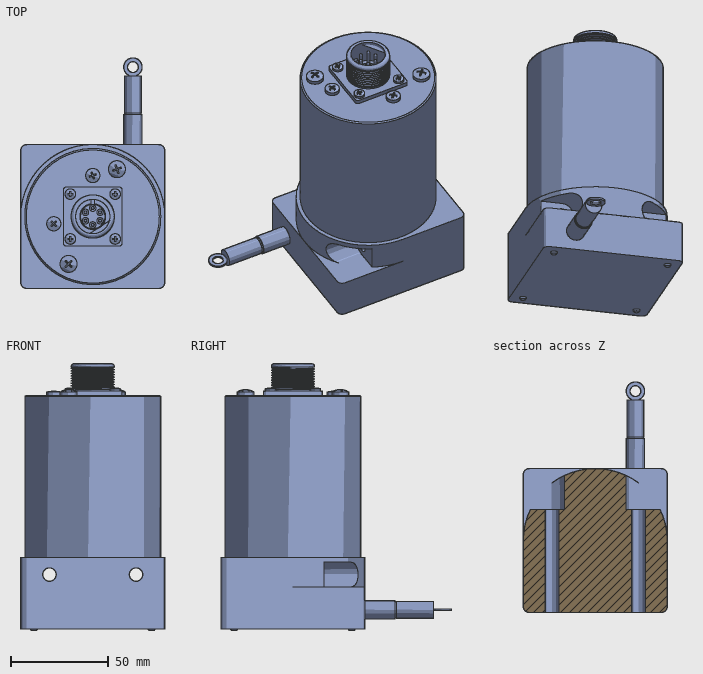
import cadquery as cq
import math

OVERALL_HEIGHT = 136.96
OVERALL_DEPTH = 118.36

BASE_SIDE = 73.91
BASE_HEIGHT = 36.83
BASE_CORNER_RADIUS = 3.05
SHOULDER_CUT_DEPTH = 15.24

MOUNT_HOLE_DIAMETER = 6.76
MOUNT_HOLE_X = 22.2
MOUNT_HOLE_DEPTH_BELOW_TOP = 8.89
SPOT_FACE_DIAMETER = 2 * (SHOULDER_CUT_DEPTH - MOUNT_HOLE_DEPTH_BELOW_TOP)
SPOT_FACE_Y = 16.0

FOOT_OFFSET = 30.2
FOOT_HEIGHT = 0.86
FOOT_TOP_DIAMETER = 3.7
FOOT_BOTTOM_DIAMETER = 2.64

CONNECTOR_HEIGHT = 16.3
BODY_DIAMETER = 69.85
BODY_TOP_Z = OVERALL_HEIGHT - FOOT_HEIGHT - CONNECTOR_HEIGHT
BODY_RIM_WIDTH = 0.8
BODY_RIM_HEIGHT = 0.5

CABLE_X = 20.6
CABLE_Z = 9.85
SLEEVE_DIAMETER = 9.53
SLEEVE_END_Y = 52.3
FITTING_DIAMETER = 8.74
FITTING_START_Y = 53.1
FITTING_END_Y = 72.2
NECK_DIAMETER = 8.4
EYELET_DIAMETER = 9.53
EYELET_HOLE_DIAMETER = 5.44
EYELET_THICKNESS = 0.9
EYELET_Y = OVERALL_DEPTH - BASE_SIDE / 2 - EYELET_DIAMETER / 2

FLANGE_SIDE = 30.2
FLANGE_THICKNESS = 2.2
FLANGE_CORNER_RADIUS = 1.5
FLANGE_SCREW_OFFSET = 11.5
FLANGE_TOP_Z = BODY_TOP_Z + FLANGE_THICKNESS
SHELL_TOP_Z = BODY_TOP_Z + CONNECTOR_HEIGHT
THREAD_DIAMETER = 22.23
THREAD_DEPTH = 0.8
THREAD_PITCH = 1.27
THREAD_ROOT_WIDTH = 1.07
THREAD_ROOT_RADIUS = THREAD_DIAMETER / 2 - THREAD_DEPTH
SHELL_COLLAR_HEIGHT = 0.9
SHELL_RIM_HEIGHT = 1.8
SHELL_RIM_RADIUS = 1.4
SHELL_BORE_DIAMETER = 17.6
SHELL_BORE_DEPTH = 12.6

INSERT_DIAMETER = 13.3
INSERT_HEIGHT = 0.4
PIN_COUNT = 6
PIN_CIRCLE_RADIUS = 4.3
PIN_DIAMETER = 1.57
PIN_TIP_DEPTH = 2.2
PIN_TIP_ROUND = 0.7
PIN_RECESS_DIAMETER = 3.3
PIN_RECESS_DEPTH = 0.8
KEY_WIDTH = 1.57
KEY_INNER_RADIUS = 6.2
KEY_TIP_DEPTH = 1.0

COVER_SCREW = (8.74, 1.8, 3.1, 4.6)
CLAMP_SCREW = (7.3, 1.8, 2.25, 3.6)
FLANGE_SCREW = (5.44, 1.2, 1.75, 2.6)
COVER_SCREW_PLACES = [(12.4, 24.3, 20), (-12.4, -24.3, 45)]
CLAMP_SCREW_PLACES = [(0, 21.05, 20), (-20.0, -3.7, 45)]
CROSS_SLOT_WIDTH = 0.7
CROSS_SLOT_DEPTH = 0.9

OVERLAP = 0.2


def disc(diameter, z_bottom, height):
    """Cylinder on the Z axis."""
    return cq.Workplane("XY", origin=(0, 0, z_bottom)).circle(diameter / 2).extrude(height)


def rod(diameter, x, z, y_start, y_end):
    """Cylinder along +Y."""
    plane = cq.Plane(origin=(x, y_start, z), xDir=(1, 0, 0), normal=(0, 1, 0))
    return cq.Workplane(plane).circle(diameter / 2).extrude(y_end - y_start)


def box_between(x0, x1, y0, y1, z0, z1):
    """Box given by its limits on each axis."""
    return cq.Workplane("XY").box(x1 - x0, y1 - y0, z1 - z0, centered=False).translate((x0, y0, z0))


def make_base():
    half = BASE_SIDE / 2
    base = cq.Workplane("XY").rect(BASE_SIDE, BASE_SIDE).extrude(BASE_HEIGHT)
    base = base.edges("|Z").fillet(BASE_CORNER_RADIUS)

    shoulder_z = BASE_HEIGHT - SHOULDER_CUT_DEPTH
    corners = box_between(-half, half, 0, half, shoulder_z, BASE_HEIGHT)
    base = base.cut(corners.cut(disc(BASE_SIDE, shoulder_z, SHOULDER_CUT_DEPTH)))

    hole_z = BASE_HEIGHT - MOUNT_HOLE_DEPTH_BELOW_TOP
    spot_radius = SPOT_FACE_DIAMETER / 2
    for side in (-1, 1):
        x = side * MOUNT_HOLE_X
        base = base.cut(rod(MOUNT_HOLE_DIAMETER, x, hole_z, -half, half))
        base = base.cut(rod(SPOT_FACE_DIAMETER, x, hole_z, SPOT_FACE_Y, half))
        x_low, x_high = sorted((x, side * half))
        base = base.cut(
            box_between(x_low, x_high, SPOT_FACE_Y, half, hole_z - spot_radius, hole_z + spot_radius)
        )
    return base


def make_foot(x, y):
    foot = cq.Workplane("XY").center(x, y).circle(FOOT_TOP_DIAMETER / 2)
    return foot.workplane(offset=-FOOT_HEIGHT).circle(FOOT_BOTTOM_DIAMETER / 2).loft()


def make_body():
    body = disc(BODY_DIAMETER, BASE_HEIGHT, BODY_TOP_Z - BASE_HEIGHT)
    return body.faces(">Z").edges().chamfer(BODY_RIM_HEIGHT, BODY_RIM_WIDTH)


def make_cable_end():
    cable = rod(SLEEVE_DIAMETER, CABLE_X, CABLE_Z, BASE_SIDE / 2 - OVERLAP, SLEEVE_END_Y)
    neck = rod(NECK_DIAMETER, CABLE_X, CABLE_Z, SLEEVE_END_Y - OVERLAP, FITTING_START_Y + OVERLAP)
    cable = cable.union(neck)
    cable = cable.union(rod(FITTING_DIAMETER, CABLE_X, CABLE_Z, FITTING_START_Y, FITTING_END_Y))
    eyelet = disc(EYELET_DIAMETER, -EYELET_THICKNESS / 2, EYELET_THICKNESS)
    eyelet = eyelet.cut(disc(EYELET_HOLE_DIAMETER, -EYELET_THICKNESS / 2, EYELET_THICKNESS))
    return cable.union(eyelet.translate((CABLE_X, EYELET_Y, CABLE_Z)))


def make_screw_head(size, x, y, z, angle):
    """Domed screw head with a cross slot, seated at height z."""
    diameter, edge_height, height, slot_span = size
    radius = diameter / 2
    rise = height - edge_height
    dome_radius = (radius**2 + rise**2) / (2 * rise)
    mid_x = radius / 2
    mid_z = height - dome_radius + math.sqrt(dome_radius**2 - mid_x**2)
    head = (
        cq.Workplane("XZ")
        .moveTo(0, -OVERLAP)
        .lineTo(radius, -OVERLAP)
        .lineTo(radius, edge_height)
        .threePointArc((mid_x, mid_z), (0, height))
        .close()
        .revolve(360, (0, 0, 0), (0, 1, 0))
    )
    slot = cq.Workplane("XY", origin=(0, 0, height - CROSS_SLOT_DEPTH))
    slot = slot.rect(slot_span, CROSS_SLOT_WIDTH).extrude(CROSS_SLOT_DEPTH)
    cross = slot.union(slot.rotate((0, 0, 0), (0, 0, 1), 90))
    return head.cut(cross).rotate((0, 0, 0), (0, 0, 1), angle).translate((x, y, z))


def make_flange():
    flange = cq.Workplane("XY", origin=(0, 0, BODY_TOP_Z - OVERLAP)).rect(FLANGE_SIDE, FLANGE_SIDE)
    flange = flange.extrude(FLANGE_THICKNESS + OVERLAP)
    return flange.edges("|Z").fillet(FLANGE_CORNER_RADIUS)


def make_thread(z_bottom, height):
    """Helical V ridge standing on the shell's root diameter."""
    root_half = THREAD_ROOT_WIDTH / 2
    root = THREAD_ROOT_RADIUS - OVERLAP
    crest = THREAD_DIAMETER / 2
    path = cq.Wire.makeHelix(THREAD_PITCH, height, THREAD_ROOT_RADIUS)
    ridge = (
        cq.Workplane("XZ")
        .polyline([(root, -root_half), (crest, 0), (root, root_half)])
        .close()
        .sweep(cq.Workplane(path), isFrenet=True)
    )
    return ridge.translate((0, 0, z_bottom))


def make_connector():
    floor_z = SHELL_TOP_Z - SHELL_BORE_DEPTH
    rim_z = SHELL_TOP_Z - SHELL_RIM_HEIGHT
    collar_z = FLANGE_TOP_Z + SHELL_COLLAR_HEIGHT

    rim = disc(THREAD_DIAMETER, rim_z, SHELL_RIM_HEIGHT).faces(">Z").edges().fillet(SHELL_RIM_RADIUS)
    core = disc(2 * THREAD_ROOT_RADIUS, FLANGE_TOP_Z, rim_z - FLANGE_TOP_Z + OVERLAP)
    collar = disc(THREAD_DIAMETER, FLANGE_TOP_Z - OVERLAP, SHELL_COLLAR_HEIGHT + OVERLAP)
    thread = make_thread(collar_z, rim_z - collar_z)
    shell = core.union(collar).union(thread).union(rim)
    shell = shell.cut(disc(SHELL_BORE_DIAMETER, floor_z, SHELL_BORE_DEPTH))
    connector = make_flange().union(shell)

    insert = disc(INSERT_DIAMETER, floor_z - OVERLAP, INSERT_HEIGHT + OVERLAP)
    connector = connector.union(insert.faces(">Z").edges().chamfer(INSERT_HEIGHT))

    recess_z = floor_z + INSERT_HEIGHT - PIN_RECESS_DEPTH
    pin_height = SHELL_TOP_Z - PIN_TIP_DEPTH - recess_z + OVERLAP
    pin = disc(PIN_DIAMETER, recess_z - OVERLAP, pin_height).faces(">Z").edges().fillet(PIN_TIP_ROUND)
    recess = disc(PIN_RECESS_DIAMETER, recess_z, PIN_RECESS_DEPTH)
    for index in range(PIN_COUNT):
        angle = math.radians(90 + index * 360 / PIN_COUNT)
        place = (PIN_CIRCLE_RADIUS * math.cos(angle), PIN_CIRCLE_RADIUS * math.sin(angle), 0)
        connector = connector.cut(recess.translate(place)).union(pin.translate(place))

    key = box_between(
        -KEY_WIDTH / 2,
        KEY_WIDTH / 2,
        KEY_INNER_RADIUS,
        SHELL_BORE_DIAMETER / 2 + OVERLAP,
        floor_z - OVERLAP,
        SHELL_TOP_Z - KEY_TIP_DEPTH,
    )
    return connector.union(key)


result = make_base().union(make_body()).union(make_cable_end())
for foot_x in (-FOOT_OFFSET, FOOT_OFFSET):
    for foot_y in (-FOOT_OFFSET, FOOT_OFFSET):
        result = result.union(make_foot(foot_x, foot_y))
result = result.union(make_connector())
for screw_x, screw_y, turn in COVER_SCREW_PLACES:
    result = result.union(make_screw_head(COVER_SCREW, screw_x, screw_y, BODY_TOP_Z, turn))
for screw_x, screw_y, turn in CLAMP_SCREW_PLACES:
    result = result.union(make_screw_head(CLAMP_SCREW, screw_x, screw_y, BODY_TOP_Z, turn))
for screw_x in (-FLANGE_SCREW_OFFSET, FLANGE_SCREW_OFFSET):
    for screw_y in (-FLANGE_SCREW_OFFSET, FLANGE_SCREW_OFFSET):
        result = result.union(make_screw_head(FLANGE_SCREW, screw_x, screw_y, FLANGE_TOP_Z, 0))